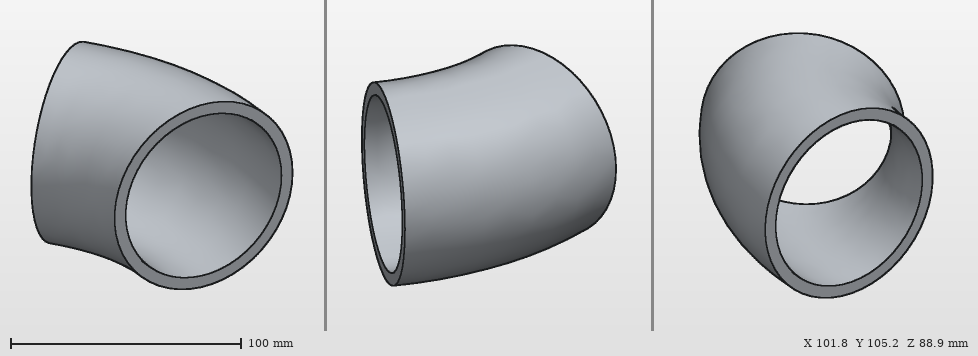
import cadquery as cq

outer_diameter = 88.9
wall_thickness = 5.6
bend_radius = 114.0
bend_angle = 40

inner_diameter = outer_diameter - 2 * wall_thickness

ring_section = (
    cq.Workplane("YZ")
    .center(bend_radius, 0)
    .circle(outer_diameter / 2)
    .circle(inner_diameter / 2)
)

result = ring_section.revolve(bend_angle, (-bend_radius, 0), (-bend_radius, 1))